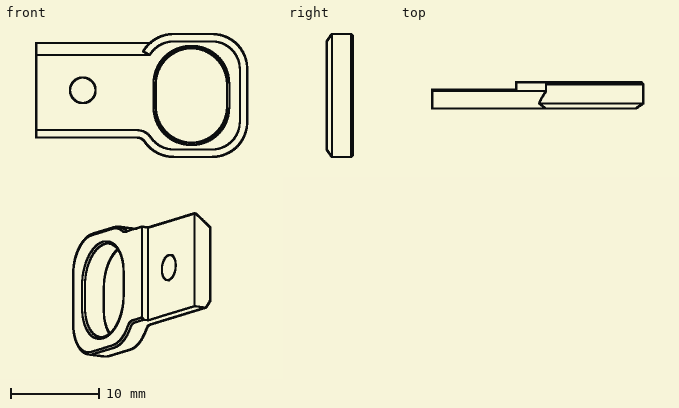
import cadquery as cq
import math

length = 24.0
thickness = 3.0
bevel_angle = math.radians(35)

head_height = 14.0
head_half_height = head_height / 2
head_corner_radius = 4.0
head_left_arc_x = 15.62
head_right_arc_x = length - head_corner_radius
head_arc_z = head_half_height - head_corner_radius
front_bevel_depth = 0.6
front_bevel_width = front_bevel_depth / math.tan(bevel_angle)
back_chamfer = 0.25

tab_bottom_z = -4.8
tab_top_z = 5.98
tab_thickness = 2.15
full_thickness_x = 9.55
tab_end_x = 14.4
slope_depth = 2.0
slope_height = slope_depth * math.tan(bevel_angle)
neck_radius = 1.0

opening_x = 17.65
opening_width = 8.06
opening_height = 10.73
opening_bevel_depth = 0.2
opening_bevel_width = opening_bevel_depth / math.tan(bevel_angle)
pin_hole_x = 5.3
pin_hole_z = (tab_top_z + tab_bottom_z) / 2
pin_hole_diameter = 2.88


def make_body():
    """Ring head with the lower part of the tab, bevelled around its outline."""
    neck_z = tab_bottom_z - neck_radius
    center_distance = head_corner_radius + neck_radius
    neck_angle = math.asin((-head_arc_z - neck_z) / center_distance)
    neck_x = head_left_arc_x - center_distance * math.cos(neck_angle)
    mid_angle = (neck_angle + math.pi / 2) / 2

    def neck_point(angle):
        return (neck_x + neck_radius * math.cos(angle), neck_z + neck_radius * math.sin(angle))

    def head_point(center_x, center_z, degrees):
        angle = math.radians(degrees)
        return (
            center_x + head_corner_radius * math.cos(angle),
            center_z + head_corner_radius * math.sin(angle),
        )

    lower_mid_degrees = (180 + math.degrees(neck_angle) + 270) / 2
    body = (
        cq.Workplane("XZ")
        .moveTo(0, tab_bottom_z)
        .lineTo(neck_x, tab_bottom_z)
        .threePointArc(neck_point(mid_angle), neck_point(neck_angle))
        .threePointArc(
            head_point(head_left_arc_x, -head_arc_z, lower_mid_degrees),
            (head_left_arc_x, -head_half_height),
        )
        .lineTo(head_right_arc_x, -head_half_height)
        .threePointArc(head_point(head_right_arc_x, -head_arc_z, -45), (length, -head_arc_z))
        .lineTo(length, head_arc_z)
        .threePointArc(
            head_point(head_right_arc_x, head_arc_z, 45), (head_right_arc_x, head_half_height)
        )
        .lineTo(head_left_arc_x, head_half_height)
        .threePointArc(
            head_point(head_left_arc_x, head_arc_z, 135),
            (head_left_arc_x - head_corner_radius, head_arc_z),
        )
        .lineTo(0, head_arc_z)
        .close()
        .extrude(-thickness)
    )
    body = body.faces(">Y").edges("<Z").chamfer(back_chamfer)
    front_edge = body.faces("<Y").edges("<Z")
    return front_edge.chamfer(front_bevel_width, front_bevel_depth)


def make_sloped_tab():
    """Upper part of the tab, sloping down to the front face."""
    return (
        cq.Workplane("YZ")
        .moveTo(0, 0)
        .lineTo(thickness, 0)
        .lineTo(thickness, tab_top_z)
        .lineTo(slope_depth, tab_top_z)
        .lineTo(0, tab_top_z - slope_height)
        .close()
        .extrude(tab_end_x)
    )


def make_back_step():
    """Material removed behind the thin end of the tab."""
    return cq.Workplane("XY").box(
        full_thickness_x, thickness, head_height, centered=(False, False, True)
    ).translate((0, tab_thickness, 0))


def opening_profile(plane_y, margin):
    """Upright slot outline on the plane at plane_y, enlarged all round by margin."""
    return (
        cq.Workplane("XZ", origin=(opening_x, plane_y, 0))
        .slot2D(opening_height + 2 * margin, opening_width + 2 * margin, 90)
    )


def make_opening():
    """Upright slot through the ring, bevelled at the front and chamfered at the back."""
    slot = opening_profile(0, 0).extrude(-thickness)
    front_bevel = opening_profile(0, opening_bevel_width).extrude(
        -opening_bevel_depth, taper=90 - math.degrees(bevel_angle)
    )
    back_bevel = opening_profile(thickness, back_chamfer).extrude(back_chamfer, taper=45)
    return slot.union(front_bevel).union(back_bevel)


def make_pin_hole():
    return (
        cq.Workplane("XZ")
        .center(pin_hole_x, pin_hole_z)
        .circle(pin_hole_diameter / 2)
        .extrude(-thickness)
    )


result = (
    make_body()
    .union(make_sloped_tab())
    .cut(make_back_step())
    .cut(make_opening())
    .cut(make_pin_hole())
)